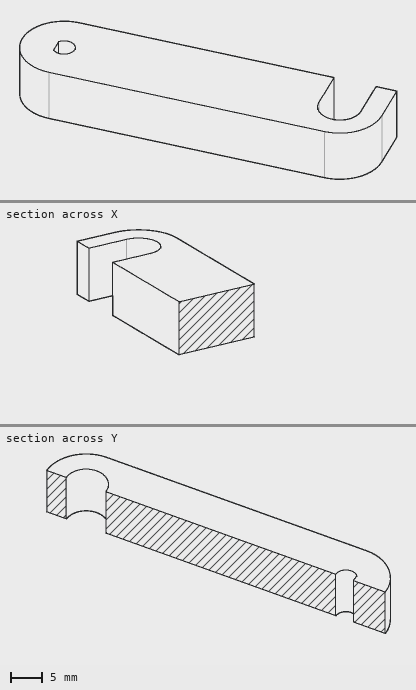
import cadquery as cq

length = 60.0
width = 14.0
thickness = 9.0
end_radius = width / 2
slot_width = width / 2
hole_diameter = 3.55
hole_flat_offset = 1.3

pivot_x = -length / 2 + end_radius
hook_x = length / 2 - end_radius


def bar():
    """Flat bar, fully rounded at -X and rounded at the lower +X corner."""
    return (
        cq.Workplane("XY")
        .moveTo(pivot_x, width / 2)
        .threePointArc((-length / 2, 0), (pivot_x, -width / 2))
        .lineTo(hook_x, -width / 2)
        .radiusArc((length / 2, 0), -end_radius)
        .lineTo(length / 2, width / 2)
        .close()
        .extrude(thickness)
    )


def hook_slot():
    """Round-bottomed slot, open on the +Y side, concentric with the hook corner."""
    left = hook_x - slot_width / 2
    right = hook_x + slot_width / 2
    return (
        cq.Workplane("XY")
        .moveTo(left, width / 2)
        .lineTo(left, 0)
        .threePointArc((hook_x, -slot_width / 2), (right, 0))
        .lineTo(right, width / 2)
        .close()
        .extrude(thickness)
    )


def pivot_hole():
    """D-shaped through hole at the centre of the round end."""
    cylinder = cq.Workplane("XY").circle(hole_diameter / 2).extrude(thickness)
    keep = (
        cq.Workplane("XY")
        .box(hole_diameter, hole_diameter, thickness, centered=(False, True, False))
        .translate((-hole_flat_offset, 0, 0))
    )
    return cylinder.intersect(keep).translate((pivot_x, 0, 0))


result = bar().cut(hook_slot()).cut(pivot_hole())